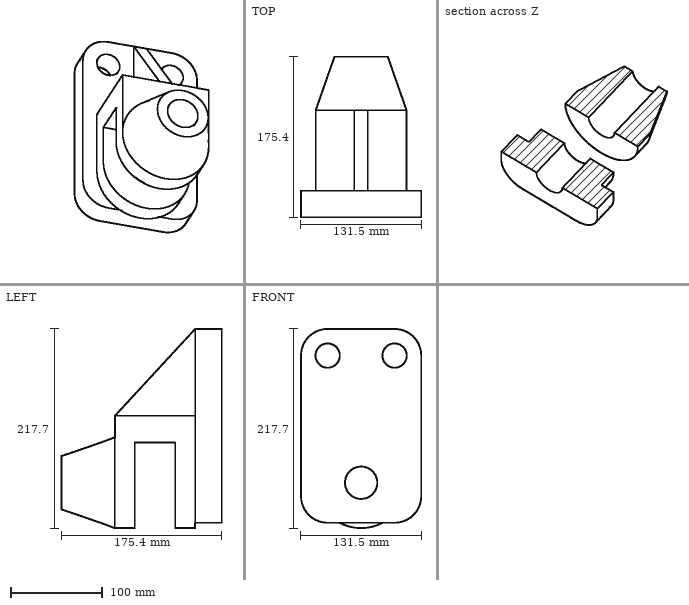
import cadquery as cq


plate_width = 131.52
plate_height = 211.893
plate_thickness = 29.227
corner_radius = plate_thickness
axis_above_plate_bottom = 43.84
plate_bottom = -axis_above_plate_bottom
plate_top = plate_bottom + plate_height

bolt_hole_diameter = 26.304
bolt_hole_x = plate_width / 2 - corner_radius
bolt_hole_z = plate_top - corner_radius

fork_radius = 49.685
fork_width = 2 * fork_radius
fork_top = 73.067
slot_width = 43.84
slot_roof = 43.84
leg_thickness = slot_width / 2
fork_depth = slot_width + 2 * leg_thickness
fork_start = plate_thickness
fork_end = fork_start + fork_depth

rib_thickness = 14.613

nose_length = 58.453
nose_tip_radius = 29.227
total_depth = fork_end + nose_length
bore_diameter = 35.072


def cylinder_along_y(x, z, diameter, length):
    """Cylinder running from y = 0 toward +Y."""
    return cq.Workplane("XZ").center(x, z).circle(diameter / 2).extrude(-length)


def make_plate():
    """Rounded rectangular mounting plate."""
    return (
        cq.Workplane("XY")
        .box(plate_width, plate_thickness, plate_height, centered=(True, False, False))
        .translate((0, 0, plate_bottom))
        .edges("|Y")
        .fillet(corner_radius)
    )


def make_fork():
    """Round-bottomed block with a slot open at the bottom and both sides."""
    block = (
        cq.Workplane("XZ", origin=(0, fork_start, 0))
        .moveTo(-fork_radius, fork_top)
        .lineTo(-fork_radius, 0)
        .threePointArc((0, -fork_radius), (fork_radius, 0))
        .lineTo(fork_radius, fork_top)
        .close()
        .extrude(-fork_depth)
    )
    slot = (
        cq.Workplane("XY")
        .box(fork_width, slot_width, fork_radius + slot_roof, centered=(True, False, False))
        .translate((0, fork_start + leg_thickness, -fork_radius))
    )
    return block.cut(slot)


def make_rib():
    """Triangular gusset standing on the fork and meeting the top of the plate."""
    return (
        cq.Workplane("YZ")
        .moveTo(fork_start, fork_top)
        .lineTo(fork_end, fork_top)
        .lineTo(fork_start, plate_top)
        .close()
        .extrude(rib_thickness / 2, both=True)
    )


def make_nose():
    """Cone frustum tapering away from the fork."""
    return (
        cq.Workplane("XY")
        .moveTo(0, fork_end)
        .lineTo(fork_radius, fork_end)
        .lineTo(nose_tip_radius, total_depth)
        .lineTo(0, total_depth)
        .close()
        .revolve(360, (0, 0, 0), (0, 1, 0))
    )


result = make_plate().union(make_fork()).union(make_rib()).union(make_nose())
result = result.cut(cylinder_along_y(0, 0, bore_diameter, total_depth))
for side in (-1, 1):
    bolt_hole = cylinder_along_y(side * bolt_hole_x, bolt_hole_z, bolt_hole_diameter, plate_thickness)
    result = result.cut(bolt_hole)